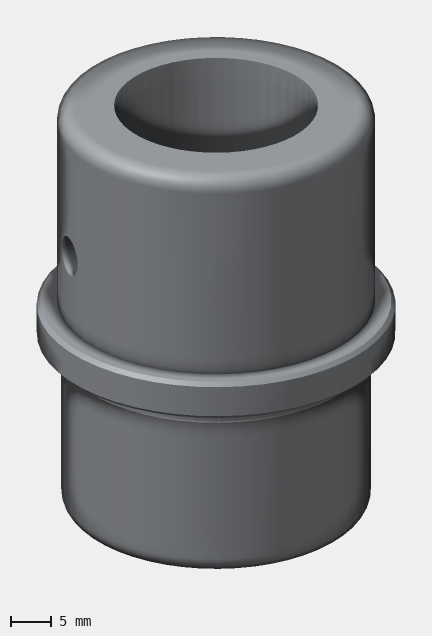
import cadquery as cq

height = 55.0
flange_diameter = 44.0
upper_diameter = 39.0
lower_diameter = 38.0
bore_diameter = 25.0
flange_bottom = 23.0
flange_thickness = 5.0
flange_edge_chamfer = 0.5
end_radius = 2.0
relief_height = 2.0
relief_arc_radius = 2.0
relief_depth = 0.7
oil_hole_diameter = 5.0
oil_hole_height = 38.0

flange_radius = flange_diameter / 2
upper_radius = upper_diameter / 2
lower_radius = lower_diameter / 2
relief_radius = lower_radius - relief_depth
flange_top = flange_bottom + flange_thickness


def make_body():
    """Solid flanged body with rounded ends, before boring."""
    lower = cq.Workplane("XY").circle(lower_radius).extrude(flange_bottom)
    lower = lower.faces("<Z").edges().fillet(end_radius)
    flange = cq.Workplane("XY").workplane(offset=flange_bottom).circle(flange_radius).extrude(flange_thickness)
    flange = flange.edges("%CIRCLE").chamfer(flange_edge_chamfer)
    upper = cq.Workplane("XY").workplane(offset=flange_top).circle(upper_radius).extrude(height - flange_top)
    upper = upper.faces(">Z").edges().fillet(end_radius)
    return lower.union(flange).union(upper)


def make_relief():
    """Ring cut under the flange, curving out to the lower diameter."""
    return (
        cq.Workplane("XZ")
        .moveTo(lower_radius, flange_bottom - relief_height)
        .radiusArc((relief_radius, flange_bottom), relief_arc_radius)
        .lineTo(lower_radius, flange_bottom)
        .close()
        .revolve(360, (0, 0, 0), (0, 1, 0))
    )


def make_bore():
    return cq.Workplane("XY").circle(bore_diameter / 2).extrude(height)


def make_oil_hole():
    """Radial hole through the -Y wall, ending in the bore."""
    return cq.Workplane("XZ").center(0, oil_hole_height).circle(oil_hole_diameter / 2).extrude(flange_radius)


result = make_body().cut(make_relief()).cut(make_bore()).cut(make_oil_hole())